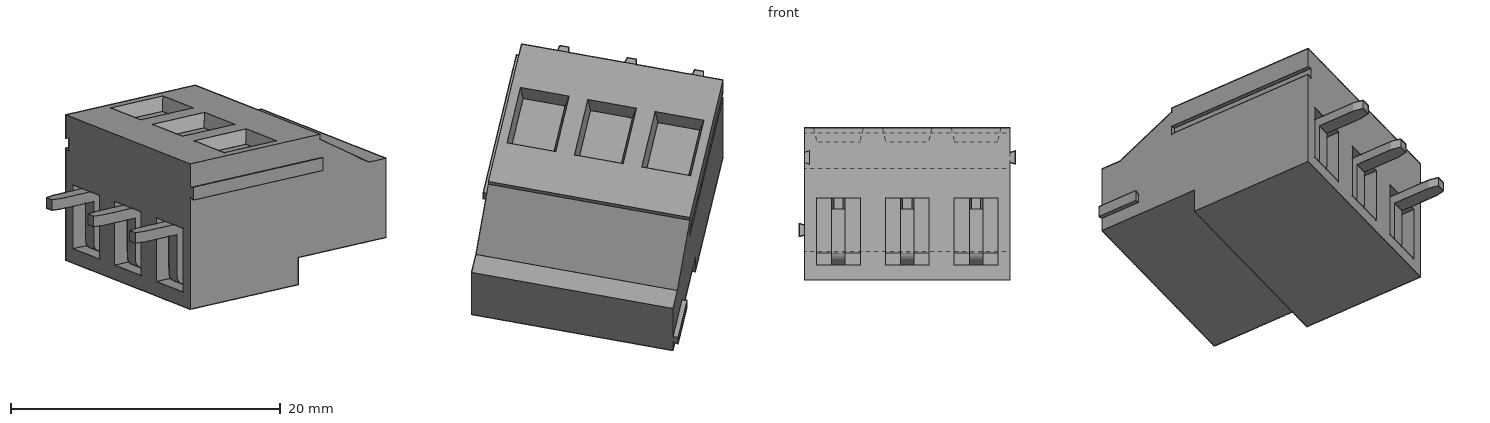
import cadquery as cq
import math


total_length = 21.7
pin_reach = 3.45
pole_count = 3

width = 15.25
length = total_length - pin_reach
height = 11.3
base_length = 10.07
step_height = 2.1
shelf_height = 8.27
shelf_depth = 1.58
crown_length = 12.09
slope_angle = 30.0

dovetail_depth = 0.4
dovetail_neck = 0.75
dovetail_head = 1.0
upper_dovetail_z = 9.1
lower_dovetail_z = 3.7
lower_rib_length = 3.25

pole_pitch = 5.1
screw_opening_width = 3.69
screw_opening_length = 4.85
screw_opening_front = 3.69
screw_opening_depth = 1.08
screw_opening_inset = 0.25

pocket_width = 3.23
pocket_floor = 1.13
pocket_top = 6.08
pocket_depth = 1.24

pin_width = 1.0
pin_thickness = 0.82
pin_tip_width = 0.7
pin_taper_length = 0.75
leg_front = 0.33
bend_radius = 0.78
bend_angle = 80.0

clamp_front = leg_front + pin_thickness
clamp_rear = screw_opening_front + screw_opening_length
clamp_bottom = 2.02

pole_positions = [(i - (pole_count - 1) / 2) * pole_pitch for i in range(pole_count)]


def box(x_size, y_range, z_range):
    """A block centred on X = 0 that spans the given Y and Z ranges."""
    y_size = y_range[1] - y_range[0]
    z_size = z_range[1] - z_range[0]
    block = cq.Workplane("XY").box(x_size, y_size, z_size, centered=(True, False, False))
    return block.translate((0, y_range[0], z_range[0]))


def housing_shell():
    """The side profile, extruded across the full width."""
    slope_run = length - shelf_depth - crown_length
    slope_top = shelf_height + slope_run * math.tan(math.radians(slope_angle))
    profile = [
        (0, 0),
        (base_length, 0),
        (base_length, step_height),
        (length, step_height),
        (length, shelf_height),
        (length - shelf_depth, shelf_height),
        (crown_length, slope_top),
        (crown_length, height),
        (0, height),
    ]
    return cq.Workplane("YZ").polyline(profile).close().extrude(width / 2, both=True)


def dovetail(neck_x, head_x, center_z, y_range):
    """A dovetail bar along Y, narrow at neck_x and wide at head_x."""
    section = [
        (neck_x, center_z - dovetail_neck / 2),
        (head_x, center_z - dovetail_head / 2),
        (head_x, center_z + dovetail_head / 2),
        (neck_x, center_z + dovetail_neck / 2),
    ]
    plane = cq.Workplane("XZ", origin=(0, y_range[0], 0))
    return plane.polyline(section).close().extrude(y_range[0] - y_range[1])


def screw_opening():
    """A shallow opening in the top whose walls lean inwards."""
    center_y = screw_opening_front + screw_opening_length / 2
    floor_width = screw_opening_width - 2 * screw_opening_inset
    floor_length = screw_opening_length - 2 * screw_opening_inset
    return (
        cq.Workplane("XY", origin=(0, center_y, height))
        .rect(screw_opening_width, screw_opening_length)
        .workplane(offset=-screw_opening_depth)
        .rect(floor_width, floor_length)
        .loft(ruled=True)
    )


def front_pocket():
    return box(pocket_width, (0, pocket_depth), (pocket_floor, pocket_top))


def make_clamp():
    """The block behind the pin, standing slightly proud of the pocket's rear wall."""
    return box(pocket_width, (clamp_front, clamp_rear), (clamp_bottom, pocket_top))


def make_housing():
    half_width = width / 2
    crown_range = (0, crown_length)
    rear_range = (length - lower_rib_length, length)
    upper_rib = dovetail(half_width, half_width + dovetail_depth, upper_dovetail_z, crown_range)
    lower_rib = dovetail(-half_width, -half_width - dovetail_depth, lower_dovetail_z, rear_range)
    groove = dovetail(-half_width, -half_width + dovetail_depth, upper_dovetail_z, crown_range)
    body = housing_shell().union(upper_rib).union(lower_rib).cut(groove)
    for x in pole_positions:
        for cavity in (screw_opening(), front_pocket(), make_clamp()):
            body = body.cut(cavity.translate((x, 0, 0)))
    return body


def make_pin():
    """A flat prong with an upright leg whose foot curves back to the pocket's rear wall."""
    bend = math.radians(bend_angle)
    half_bend = bend / 2
    bend_middle = (
        leg_front + bend_radius * (1 - math.cos(half_bend)),
        clamp_bottom - bend_radius * math.sin(half_bend),
    )
    bend_end = (
        leg_front + bend_radius * (1 - math.cos(bend)),
        clamp_bottom - bend_radius * math.sin(bend),
    )
    blank = (
        cq.Workplane("YZ")
        .moveTo(-pin_reach, pocket_top)
        .lineTo(-pin_reach, pocket_top - pin_thickness)
        .lineTo(leg_front, pocket_top - pin_thickness)
        .lineTo(leg_front, clamp_bottom)
        .threePointArc(bend_middle, bend_end)
        .tangentArcPoint((pocket_depth, pocket_floor), relative=False)
        .lineTo(pocket_depth, clamp_bottom)
        .lineTo(clamp_front, clamp_bottom)
        .lineTo(clamp_front, pocket_top)
        .close()
        .extrude(pin_width / 2, both=True)
    )
    taper_start = pin_taper_length - pin_reach
    outline = [
        (-pin_tip_width / 2, -pin_reach),
        (pin_tip_width / 2, -pin_reach),
        (pin_width / 2, taper_start),
        (pin_width / 2, pocket_depth),
        (-pin_width / 2, pocket_depth),
        (-pin_width / 2, taper_start),
    ]
    return blank.intersect(cq.Workplane("XY").polyline(outline).close().extrude(height))


housing = make_housing()
pins = [make_pin().translate((x, 0, 0)) for x in pole_positions]
clamps = [make_clamp().translate((x, 0, 0)) for x in pole_positions]

result = cq.Compound.makeCompound(
    [housing.val(), *[pin.val() for pin in pins], *[clamp.val() for clamp in clamps]]
)